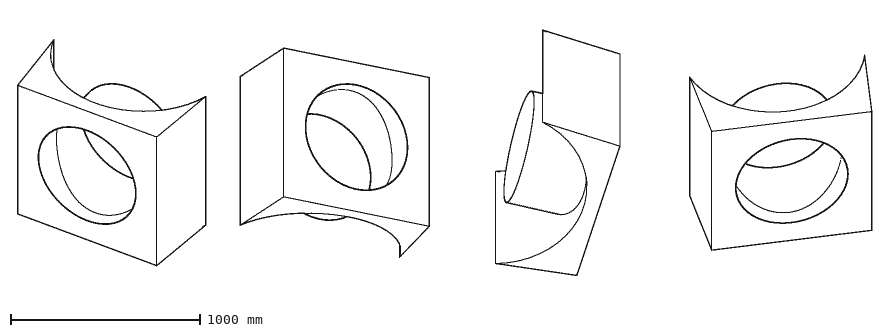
import cadquery as cq

back_width = 940.0
front_width = 860.0
height = 860.0
depth = 435.0
web_thickness = 82.0
pipe_outer_diameter = 606.0
pipe_wall = 4.0


def cylinder_along_y(diameter):
    """Cylinder about the Y axis, running from the front face to the full depth."""
    return cq.Workplane("XZ").circle(diameter / 2).extrude(-depth)


def make_saddle_block():
    """Tapered block with a concave cylindrical back and a through hole for the pipe."""
    profile = (
        cq.Workplane("XY", origin=(0, 0, -height / 2))
        .moveTo(-front_width / 2, 0)
        .lineTo(front_width / 2, 0)
        .lineTo(back_width / 2, depth)
        .threePointArc((0, web_thickness), (-back_width / 2, depth))
        .close()
    )
    return profile.extrude(height).cut(cylinder_along_y(pipe_outer_diameter))


def make_pipe():
    """Thin pipe seated in the block, flush with its front face and its back tips."""
    bore_diameter = pipe_outer_diameter - 2 * pipe_wall
    return cylinder_along_y(pipe_outer_diameter).cut(cylinder_along_y(bore_diameter))


saddle_block = make_saddle_block()
pipe = make_pipe()

result = cq.Compound.makeCompound([saddle_block.val(), pipe.val()])